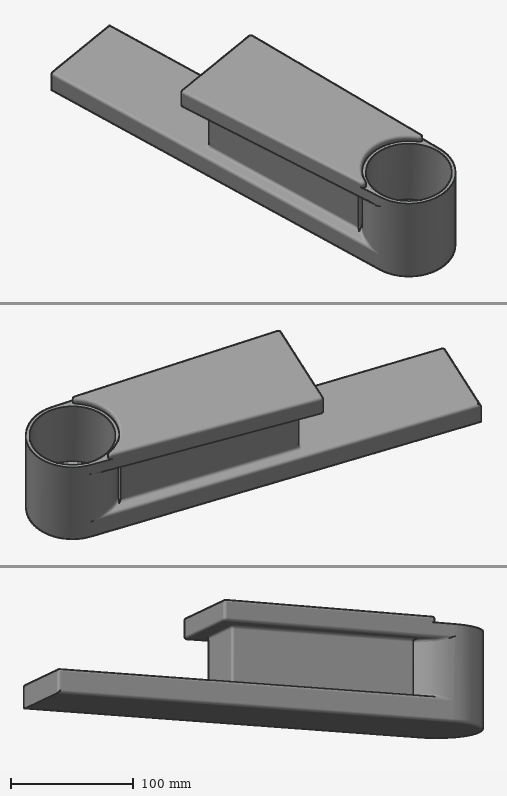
import cadquery as cq
import math

OVERALL_LENGTH = 384.18
OVERALL_HEIGHT = 86.36
EDGE_RADIUS = 2.54

CUP_RADIUS = 38.1
BORE_RADIUS = 35.0
CUP_HEIGHT = 81.28
CUP_X = OVERALL_LENGTH - CUP_RADIUS
CUP_CENTRE = (CUP_X, 0)

BAR_THICKNESS = 20.32

PLATE_THICKNESS = 17.78
PLATE_CORNER_WIDTH = 90.61
PLATE_START_X = 142.5
PLATE_BOTTOM = OVERALL_HEIGHT - PLATE_THICKNESS
HORN_RADIUS = 2.6

WEB_START_X = 156.4
WEB_END_X = 315.1
WEB_WIDTH = 53.8


def tangent_direction():
    """Angle about the cup axis at which the +Y plate side touches the cup."""
    half_width = PLATE_CORNER_WIDTH / 2
    reach = CUP_X - PLATE_START_X
    corner_angle = math.pi - math.atan2(half_width, reach)
    return corner_angle - math.acos(CUP_RADIUS / math.hypot(reach, half_width))


PLATE_CORNER = (PLATE_START_X, PLATE_CORNER_WIDTH / 2)
TANGENT_ANGLE = tangent_direction()


def mirrored(point):
    """Reflect an XY point across the arm's centre plane."""
    return (point[0], -point[1])


def polar(centre, radius, angle):
    """XY point at a distance and direction from a centre."""
    return (centre[0] + radius * math.cos(angle), centre[1] + radius * math.sin(angle))


def lower_bar():
    """Flat bar with a half-round end; the square end is sharp below and at its +Y corner."""
    bar = (
        cq.Workplane("XY")
        .moveTo(0, -CUP_RADIUS)
        .lineTo(CUP_X, -CUP_RADIUS)
        .threePointArc((OVERALL_LENGTH, 0), (CUP_X, CUP_RADIUS))
        .lineTo(0, CUP_RADIUS)
        .close()
        .extrude(BAR_THICKNESS)
    )
    rounded_edges = "(|Z and <X and <Y) or (<Z and (not <X)) or >Z"
    return bar.edges(rounded_edges).fillet(EDGE_RADIUS)


def cup():
    """Solid cup body, rounded round its foot."""
    body = cq.Workplane("XY").center(CUP_X, 0).circle(CUP_RADIUS).extrude(CUP_HEIGHT)
    return body.faces("<Z").edges().fillet(EDGE_RADIUS)


def lower_plate():
    """Part of the tapered plate below the cup rim, rounded underneath."""
    touch = polar(CUP_CENTRE, CUP_RADIUS, TANGENT_ANGLE)
    plate = (
        cq.Workplane("XY", origin=(0, 0, PLATE_BOTTOM))
        .moveTo(*mirrored(PLATE_CORNER))
        .lineTo(*mirrored(touch))
        .lineTo(*touch)
        .lineTo(*PLATE_CORNER)
        .close()
        .extrude(CUP_HEIGHT - PLATE_BOTTOM)
    )
    plate = plate.edges("|Z and <X").fillet(EDGE_RADIUS)
    return plate.edges("<Z and (not >X)").fillet(EDGE_RADIUS)


def upper_plate():
    """Part of the plate above the cup rim, cut back round the cup to two blunt horns."""
    along_side = 2 * math.sqrt(CUP_RADIUS * HORN_RADIUS)
    centre_distance = CUP_RADIUS + HORN_RADIUS
    centre_angle = TANGENT_ANGLE + math.atan2(along_side, CUP_RADIUS - HORN_RADIUS)
    centre = polar(CUP_CENTRE, centre_distance, centre_angle)
    cup_touch = polar(CUP_CENTRE, CUP_RADIUS, centre_angle)
    side_touch = polar(centre, HORN_RADIUS, TANGENT_ANGLE)
    tip_angle = (TANGENT_ANGLE + centre_angle - math.pi) / 2
    tip = polar(centre, HORN_RADIUS, tip_angle)
    plate = (
        cq.Workplane("XY", origin=(0, 0, CUP_HEIGHT))
        .moveTo(*mirrored(PLATE_CORNER))
        .lineTo(*mirrored(side_touch))
        .threePointArc(mirrored(tip), mirrored(cup_touch))
        .threePointArc((CUP_X - CUP_RADIUS, 0), cup_touch)
        .threePointArc(tip, side_touch)
        .lineTo(*PLATE_CORNER)
        .close()
        .extrude(OVERALL_HEIGHT - CUP_HEIGHT)
    )
    plate = plate.edges("|Z and <X").fillet(EDGE_RADIUS)
    return plate.faces(">Z").edges().fillet(EDGE_RADIUS)


def web():
    """Upright box between bar and plate, its corners rounded at the end away from the cup."""
    length = WEB_END_X - WEB_START_X
    box = (
        cq.Workplane("XY", origin=(WEB_START_X + length / 2, 0, BAR_THICKNESS))
        .rect(length, WEB_WIDTH)
        .extrude(PLATE_BOTTOM - BAR_THICKNESS)
    )
    return box.edges("|Z and <X").fillet(EDGE_RADIUS)


def with_root_fillets(body, level):
    """Fillet the roots of the web and the cup where they meet a flat face at the given height."""
    margin = 1.0
    roots = cq.selectors.BoxSelector(
        (WEB_START_X - margin, -CUP_RADIUS, level - margin),
        (CUP_X, CUP_RADIUS, level + margin),
    )
    return body.edges(roots).fillet(EDGE_RADIUS)


def bore():
    """Blind bore of the cup, with its floor level with the top of the bar."""
    depth = OVERALL_HEIGHT - BAR_THICKNESS
    return cq.Workplane("XY", origin=(CUP_X, 0, BAR_THICKNESS)).circle(BORE_RADIUS).extrude(depth)


arm = lower_bar().union(cup()).union(web()).union(lower_plate())
arm = with_root_fillets(arm, BAR_THICKNESS)
arm = with_root_fillets(arm, PLATE_BOTTOM)
result = arm.union(upper_plate()).cut(bore())